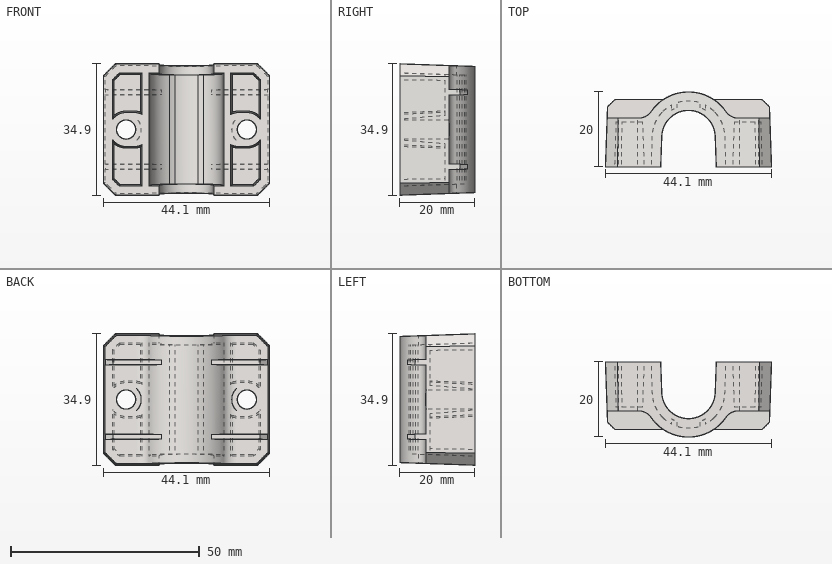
import cadquery as cq
import math

length_x = 44.1
height_y = 20.0
width_z = 34.9
draft = 2.0
corner_chamfer = 3.2

outer_radius = 12.0
arch_axis_y = height_y - outer_radius
flange_thickness = 13.0
arch_fillet = 4.0

bore_radius = 7.05
cavity_radius = 9.6
lip_thickness = 2.43
rail_radius = 8.43
rail_inner_x = 3.0
rail_outer_x = 4.45

screw_x = 16.0
screw_radius = 2.5
spotface_radius = 4.0

pocket_wall = 2.45
pocket_inner_x = 11.75
pocket_depth = 12.0
pocket_chamfer = 1.75
boss_radius = 4.5
boss_inner_x = 13.8

rib_top_y = 18.0
rib_centre_z = 9.9
rib_thickness = 1.45
rib_chamfer = 2.0
rib_draft = 1.0

draft_slope = math.tan(math.radians(draft))


def facing_back(y):
    """Workplane at height y that extrudes along +Y; local x is +X and local y is -Z."""
    return cq.Workplane(cq.Plane(origin=(0, y, 0), xDir=(1, 0, 0), normal=(0, 1, 0)))


def chamfered_rectangle(half_x, half_z, chamfer):
    """Corner points of a rectangle with all four corners cut at 45 degrees."""
    return [
        (half_x, half_z - chamfer),
        (half_x - chamfer, half_z),
        (chamfer - half_x, half_z),
        (-half_x, half_z - chamfer),
        (-half_x, chamfer - half_z),
        (chamfer - half_x, -half_z),
        (half_x - chamfer, -half_z),
        (half_x, chamfer - half_z),
    ]


def envelope():
    """Chamfered block that narrows with the draft from the split face to the crown."""
    outline = chamfered_rectangle(length_x / 2, width_z / 2, corner_chamfer)
    return facing_back(0).polyline(outline).close().extrude(height_y, taper=draft)


def arch_profile():
    """Flanges and arch, blended by fillets, as a bar along Z."""
    fillet_y = flange_thickness + arch_fillet
    centre_distance = outer_radius + arch_fillet
    fillet_x = math.sqrt(centre_distance**2 - (fillet_y - arch_axis_y) ** 2)
    tangent_x = fillet_x * outer_radius / centre_distance
    tangent_y = arch_axis_y + (fillet_y - arch_axis_y) * outer_radius / centre_distance
    half_x = length_x / 2
    return (
        cq.Workplane("XY")
        .moveTo(-half_x, 0)
        .lineTo(half_x, 0)
        .lineTo(half_x, flange_thickness)
        .lineTo(fillet_x, flange_thickness)
        .radiusArc((tangent_x, tangent_y), arch_fillet)
        .threePointArc((0, height_y), (-tangent_x, tangent_y))
        .radiusArc((-fillet_x, flange_thickness), arch_fillet)
        .lineTo(-half_x, flange_thickness)
        .close()
        .extrude(width_z / 2, both=True)
    )


def ribs():
    """Two chamfered plates across the back, following the drafted flange sides."""
    side_x = length_x / 2
    top_x = side_x - rib_top_y * draft_slope
    chamfer_y = rib_top_y - rib_chamfer
    profile = (
        cq.Workplane("XY")
        .polyline(
            [
                (-side_x, 0),
                (side_x, 0),
                (side_x - chamfer_y * draft_slope, chamfer_y),
                (top_x - rib_chamfer, rib_top_y),
                (rib_chamfer - top_x, rib_top_y),
                (chamfer_y * draft_slope - side_x, chamfer_y),
            ]
        )
        .close()
        .extrude(width_z / 2, both=True)
    )
    plates = (
        facing_back(flange_thickness)
        .pushPoints([(0, rib_centre_z), (0, -rib_centre_z)])
        .rect(length_x, rib_thickness)
        .extrude(rib_top_y - flange_thickness, taper=rib_draft)
    )
    return profile.intersect(plates)


def channel(radius, width):
    """Round-topped slot open at the split face, with flanks drafted tangent to the arc."""
    angle = math.radians(draft)
    base_x = radius / math.cos(angle) + arch_axis_y * draft_slope
    tangent_x = radius * math.cos(angle)
    tangent_y = arch_axis_y + radius * math.sin(angle)
    return (
        cq.Workplane("XY")
        .moveTo(-base_x, 0)
        .lineTo(base_x, 0)
        .lineTo(tangent_x, tangent_y)
        .threePointArc((0, arch_axis_y + radius), (-tangent_x, tangent_y))
        .close()
        .extrude(width / 2, both=True)
    )


def cavity():
    """Wide channel between drafted end lips, less two grip rails beside its crown."""
    width = width_z - 2 * lip_thickness
    ends = facing_back(0).rect(length_x, width).extrude(height_y, taper=draft)
    rail_width = rail_outer_x - rail_inner_x
    rail_x = (rail_inner_x + rail_outer_x) / 2
    rails = (
        cq.Workplane("XY")
        .pushPoints([(rail_x, height_y / 2), (-rail_x, height_y / 2)])
        .rect(rail_width, height_y)
        .extrude(width_z / 2, both=True)
        .cut(channel(rail_radius, width_z))
    )
    return channel(cavity_radius, width).intersect(ends).cut(rails)


def pocket():
    """Drafted pocket on the +X, -Z quarter, bounded inward by the screw boss."""
    outer_x = length_x / 2 - pocket_wall
    outer_z = width_z / 2 - pocket_wall

    def shoulder_z(offset):
        return math.sqrt(boss_radius**2 - offset**2)

    return (
        facing_back(0)
        .moveTo(pocket_inner_x, shoulder_z(boss_inner_x - pocket_inner_x))
        .radiusArc((boss_inner_x, boss_radius), boss_radius)
        .lineTo(screw_x, boss_radius)
        .radiusArc((outer_x, shoulder_z(outer_x - screw_x)), boss_radius)
        .lineTo(outer_x, outer_z - pocket_chamfer)
        .lineTo(outer_x - pocket_chamfer, outer_z)
        .lineTo(pocket_inner_x, outer_z)
        .close()
        .extrude(pocket_depth, taper=draft)
    )


def screw_cylinders(radius, start_y, end_y):
    """One cylinder along Y at each screw position."""
    return (
        facing_back(start_y)
        .pushPoints([(screw_x, 0), (-screw_x, 0)])
        .circle(radius)
        .extrude(end_y - start_y)
    )


right_lower_pocket = pocket()
right_pockets = right_lower_pocket.union(right_lower_pocket.mirror("XY"))

result = (
    envelope()
    .intersect(arch_profile())
    .union(ribs())
    .cut(channel(bore_radius, width_z))
    .cut(cavity())
    .cut(screw_cylinders(screw_radius, 0, flange_thickness))
    .cut(screw_cylinders(spotface_radius, flange_thickness, rib_top_y))
    .cut(right_pockets)
    .cut(right_pockets.mirror("YZ"))
)